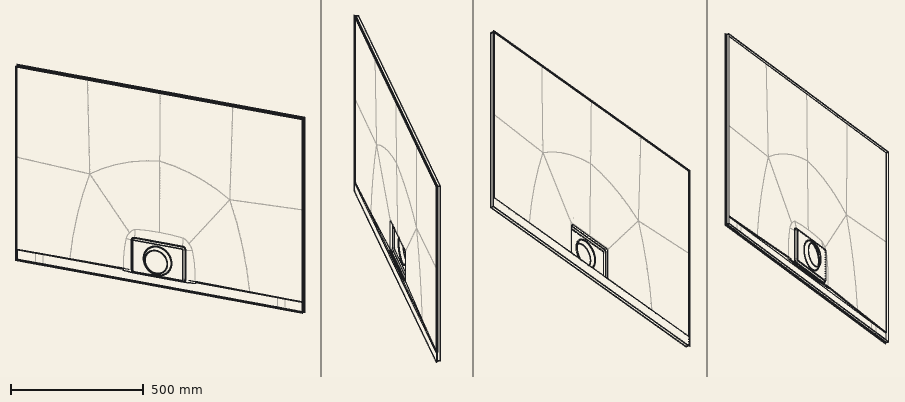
import cadquery as cq
import math

width = 1200.0
depth = 800.0
total_height = 42.0

rim_height = 16.0
rim_wall = 4.5
bevel_drop = 4.0
bevel_inset = 2.5

deck_width = 42.0
deck_end_thickness = 6.0
deck_middle_thickness = 5.0
deck_blend_outer_x = 520.0
deck_blend_inner_x = 488.0

floor_thickness = deck_middle_thickness
level_edge = 7.0
level_knee = 10.0
level_drain = 14.5
knee_x = 292.0
knee_z = 10.0
apex_z = 115.0
top_seam_x = 303.0
side_seam_z = 22.0
fan_foot_x = 375.0

crown_bow_x = -8.0
crown_bow_z = 17.0
flank_bow_x = -10.0
flank_bow_z = 6.0

step_run_corner = 2.0
step_run_fan = 5.0
step_run_drain = 9.0

apron_foot_half = 151.0
apron_bulge_half = 149.0
apron_bulge_z = -280.0
apron_side_half = 140.0
apron_corner_x = 121.0
apron_corner_z = -192.0
apron_flat_z = -178.0
apron_crown_z = -172.0
apron_base_level = 13.5
apron_level = 20.0

pan_half_width = 114.0
pan_top_z = -211.0
pan_corner = 14.0
pan_edge_bevel = 9.0
pan_root_level = 17.0
pan_level = 29.5
drain_wall = 4.0

outlet_z = -286.0
outlet_base_radius = 60.0
outlet_tip_radius = 48.0
outlet_hole_radius = 45.0

inner_x = width / 2 - rim_wall
inner_z = depth / 2 - rim_wall
deck_z = -depth / 2 + deck_width


def block(x_min, x_max, z_min, z_max, y_min, y_max):
    """Axis-aligned box given by its limits."""
    return cq.Workplane("XY").box(
        x_max - x_min, y_max - y_min, z_max - z_min, centered=False
    ).translate((x_min, y_min, z_min))


def make_rim():
    """Frame around the tray, widening through a bevel to its full size at the upper side."""
    wall_x = width / 2 - bevel_inset
    wall_z = depth / 2 - bevel_inset
    flange = (
        cq.Workplane("XZ")
        .rect(width, depth)
        .workplane(offset=bevel_drop)
        .rect(2 * wall_x, 2 * wall_z)
        .loft(ruled=True)
    )
    skirt = block(-wall_x, wall_x, -wall_z, wall_z, -rim_height, -bevel_drop)
    opening = block(-inner_x, inner_x, -inner_z, inner_z, -rim_height, 0)
    return flange.union(skirt).cut(opening)


def make_deck():
    """Strip between the floor and the bottom rim, slightly thinner between two ramps."""
    return (
        cq.Workplane("XY", origin=(0, 0, -inner_z))
        .moveTo(-inner_x, 0)
        .lineTo(-inner_x, -deck_end_thickness)
        .lineTo(-deck_blend_outer_x, -deck_end_thickness)
        .lineTo(-deck_blend_inner_x, -deck_middle_thickness)
        .lineTo(deck_blend_inner_x, -deck_middle_thickness)
        .lineTo(deck_blend_outer_x, -deck_end_thickness)
        .lineTo(inner_x, -deck_end_thickness)
        .lineTo(inner_x, 0)
        .close()
        .extrude(deck_z + inner_z)
    )


def line(start, end):
    """Straight edge between two points."""
    return cq.Edge.makeLine(cq.Vector(*start), cq.Vector(*end))


def bowed(start, end, bow_x, bow_z):
    """Arc from start to end whose middle is moved off the chord by (bow_x, bow_z)."""
    first = cq.Vector(*start)
    last = cq.Vector(*end)
    middle = (first + last) * 0.5 + cq.Vector(bow_x, 0, bow_z)
    return cq.Edge.makeThreePointArc(first, middle, last)


def make_floor():
    """Ruled patches falling towards the drain, thickened upwards and mirrored about X = 0."""
    knee = (-knee_x, -level_knee, knee_z)
    apex = (0, -level_knee, apex_z)
    top_corner = (-inner_x, -level_edge, inner_z)
    top_seam = (-top_seam_x, -level_edge, inner_z)
    top_middle = (0, -level_edge, inner_z)
    side_seam = (-inner_x, -level_edge, side_seam_z)
    bottom_corner = (-inner_x, -level_edge, deck_z + step_run_corner)
    fan_foot = (-fan_foot_x, -level_knee, deck_z + step_run_fan)
    pan_corner_point = (-pan_half_width, -level_drain, pan_top_z)
    pan_foot = (-pan_half_width, -level_drain, deck_z + step_run_drain)
    pan_middle = (0, -level_drain, pan_top_z)
    bottom_middle = (0, -level_drain, deck_z + step_run_drain)

    step_corner = (-inner_x, -deck_middle_thickness, deck_z)
    step_fan = (-fan_foot_x, -deck_middle_thickness, deck_z)
    step_pan = (-pan_half_width, -deck_middle_thickness, deck_z)
    step_middle = (0, -deck_middle_thickness, deck_z)

    crown = bowed(knee, apex, crown_bow_x, crown_bow_z)
    flank = bowed(fan_foot, knee, flank_bow_x, flank_bow_z)
    patches = [
        (line(top_corner, top_seam), line(side_seam, knee)),
        (line(top_seam, top_middle), crown),
        (line(bottom_corner, side_seam), flank),
        (flank, line(pan_foot, pan_corner_point)),
        (crown, line(pan_corner_point, pan_middle)),
        (line(pan_foot, bottom_middle), line(pan_corner_point, pan_middle)),
        (line(step_corner, step_fan), line(bottom_corner, fan_foot)),
        (line(step_fan, step_pan), line(fan_foot, pan_foot)),
        (line(step_pan, step_middle), line(pan_foot, bottom_middle)),
    ]
    upwards = cq.Vector(0, floor_thickness, 0)
    half = cq.Workplane("XY")
    for first, second in patches:
        patch = cq.Face.makeRuledSurface(first, second)
        half = half.add(cq.Solid.extrudeLinear(patch, upwards))
    half = half.combine(glue=False)
    return half.union(half.mirror("YZ"))


def make_apron():
    """Pad that slopes from the floor down to the pan on three sides."""
    side_z = pan_top_z - pan_corner
    flat_half = pan_half_width - pan_corner
    corner_inset = pan_corner * (1 - math.sqrt(0.5))
    crest_corner_x = pan_half_width - corner_inset
    crest_corner_z = pan_top_z - corner_inset
    base = (
        cq.Workplane("XZ", origin=(0, -apron_base_level, 0))
        .moveTo(-apron_foot_half, deck_z)
        .threePointArc((-apron_bulge_half, apron_bulge_z), (-apron_side_half, side_z))
        .threePointArc((-apron_corner_x, apron_corner_z), (-flat_half, apron_flat_z))
        .threePointArc((0, apron_crown_z), (flat_half, apron_flat_z))
        .threePointArc((apron_corner_x, apron_corner_z), (apron_side_half, side_z))
        .threePointArc((apron_bulge_half, apron_bulge_z), (apron_foot_half, deck_z))
        .close()
    )
    crest = (
        cq.Workplane("XZ", origin=(0, -apron_level, 0))
        .moveTo(-pan_half_width, deck_z)
        .lineTo(-pan_half_width, side_z)
        .threePointArc((-crest_corner_x, crest_corner_z), (-flat_half, pan_top_z))
        .lineTo(flat_half, pan_top_z)
        .threePointArc((crest_corner_x, crest_corner_z), (pan_half_width, side_z))
        .lineTo(pan_half_width, deck_z)
        .close()
    )
    return cq.Workplane(cq.Solid.makeLoft([base.val(), crest.val()], True))


def make_pan(inset, top_level):
    """Pan with round corners and a bevelled lower edge; inset shrinks it to give the hollow inside."""
    size_x = 2 * (pan_half_width - inset)
    size_z = pan_top_z - deck_z - 2 * inset
    middle_z = (pan_top_z + deck_z) / 2
    return (
        cq.Workplane("XZ", origin=(0, -top_level, middle_z))
        .rect(size_x, size_z)
        .extrude(pan_level - inset - top_level)
        .edges("|Y")
        .fillet(pan_corner - inset)
        .faces("<Y")
        .edges()
        .chamfer(pan_edge_bevel - inset)
    )


def make_outlet(base_radius, tip_radius):
    """Cone on the drain axis from the pan floor down to the lowest level."""
    height = total_height - pan_level
    cone = cq.Solid.makeCone(
        base_radius, tip_radius, height, cq.Vector(0, -pan_level, outlet_z), cq.Vector(0, -1, 0)
    )
    return cq.Workplane(cone)


def make_drain_hollow():
    """Space inside the drain: the pan, open at the upper side, and the outlet bore."""
    throat = (
        cq.Workplane("XZ", origin=(0, drain_wall - pan_level, outlet_z))
        .circle(outlet_base_radius - drain_wall)
        .extrude(drain_wall)
    )
    bore = make_outlet(outlet_base_radius - drain_wall, outlet_hole_radius)
    return make_pan(drain_wall, 0).union(throat).union(bore)


result = (
    make_rim()
    .union(make_deck())
    .union(make_floor())
    .union(make_apron())
    .union(make_pan(0, pan_root_level))
    .union(make_outlet(outlet_base_radius, outlet_tip_radius))
    .cut(make_drain_hollow())
)